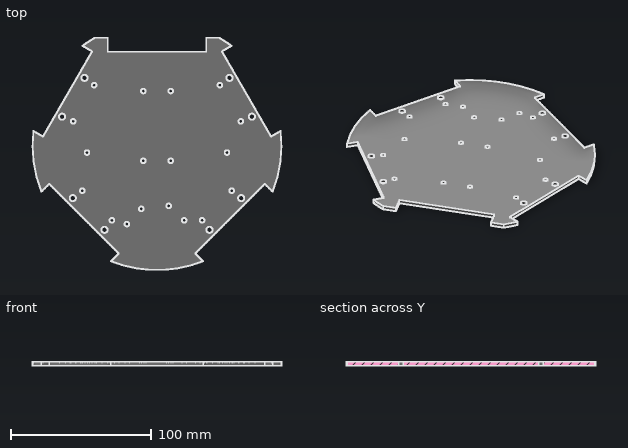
import cadquery as cq
import math

plate_radius = 88.9
plate_thickness = 3.0
top_flat_y = 77.0

notch_width = 70.0
wheel_notch_distance = 73.8
top_notch_distance = 67.0
wheel_angles = (30, 150, 225, 315)
top_notch_angle = 90

large_hole_diameter = 4.3
large_hole_inset = 4.8
large_hole_spacing = 32.0
small_hole_diameter = 3.2
small_hole_inset = 13.3
small_hole_spacing = 29.9

grid_spacing_x = 19.5
grid_upper_y = 39.0
grid_lower_y = -10.8
side_hole_x = 50.0
side_hole_y = -5.0
board_holes = [(8.4, -43.0), (-11.2, -45.2), (19.4, -53.3), (-21.5, -56.0)]


def polar_frame(angle, distance, offset):
    """Point at a distance along the given direction, shifted sideways by offset."""
    a = math.radians(angle)
    x = distance * math.cos(a) - offset * math.sin(a)
    y = distance * math.sin(a) + offset * math.cos(a)
    return (x, y)


def trimmed_disc():
    disc = cq.Workplane("XY").circle(plate_radius).extrude(plate_thickness)
    height = plate_radius + top_flat_y
    keep = (
        cq.Workplane("XY")
        .center(0, top_flat_y - height / 2)
        .rect(2 * plate_radius, height)
        .extrude(plate_thickness)
    )
    return disc.intersect(keep)


def notch_cutter(angle, floor_distance):
    """Block that starts at the notch floor and runs out past the rim."""
    block = (
        cq.Workplane("XY")
        .center(floor_distance + plate_radius / 2, 0)
        .rect(plate_radius, notch_width)
        .extrude(plate_thickness)
    )
    return block.rotate((0, 0, 0), (0, 0, 1), angle)


def wheel_holes(inset, spacing):
    """Pair of hole centres behind the floor of every wheel notch."""
    distance = wheel_notch_distance - inset
    return [
        polar_frame(angle, distance, side * spacing / 2)
        for angle in wheel_angles
        for side in (-1, 1)
    ]


def middle_holes():
    grid = [
        (side * grid_spacing_x / 2, y)
        for side in (-1, 1)
        for y in (grid_lower_y, grid_upper_y)
    ]
    sides = [(side * side_hole_x, side_hole_y) for side in (-1, 1)]
    return grid + sides + board_holes


plate = trimmed_disc()
plate = plate.cut(notch_cutter(top_notch_angle, top_notch_distance))
for wheel_angle in wheel_angles:
    plate = plate.cut(notch_cutter(wheel_angle, wheel_notch_distance))

large_holes = wheel_holes(large_hole_inset, large_hole_spacing)
small_holes = wheel_holes(small_hole_inset, small_hole_spacing) + middle_holes()

for centres, diameter in (
    (large_holes, large_hole_diameter),
    (small_holes, small_hole_diameter),
):
    drills = (
        cq.Workplane("XY")
        .pushPoints(centres)
        .circle(diameter / 2)
        .extrude(plate_thickness)
    )
    plate = plate.cut(drills)

result = plate